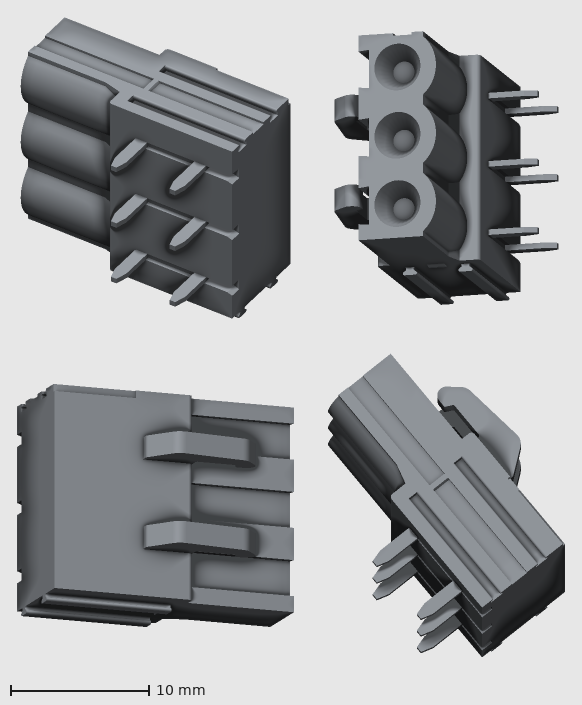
import cadquery as cq
import math


length = 18.85
height = 15.23
poles = 3
pitch = height / poles
block_start = 8.18
block_depth = 7.73
block_corner_radius = 0.3
neck_back = 6.79

barrel_y = 3.85
barrel_radius = 2.9
web_front = 1.92
web_flare_front = 1.53
web_flare_start = 6.67
funnel_mouth_radius = 1.73
funnel_throat_radius = 0.8
funnel_depth = 1.7

dovetail_depth = 0.81
dovetail_mouth = 2.68
dovetail_floor = 2.85

hook_width = 1.62
hook_spacing = 6.67
hook_root_y = 7.16
hook_underside_y = 8.46
hook_end_x = 12.03
hook_lip_x = 4.88
hook_lip_y = 7.85
hook_nose_center = (4.28, 8.48)
hook_nose_radius = hook_nose_center[1] - hook_lip_y
hook_shoulder = (4.75, 10.0)
hook_peak = (10.31, 10.67)
hook_heel_y = 8.43
hook_notch_x = 5.18
hook_inner_radius = 0.15
hook_shoulder_radius = 0.95
hook_peak_radius = 0.95
hook_heel_radius = 0.38

pin_width = 1.0
pin_thickness = 0.41
pin_spacing = 5.07
first_pin_x = 10.46
pin_tip_y = -3.6
pin_taper_y = -2.68
pin_tip_width = 0.47
pin_plate_y = 0.23
last_pin_end = first_pin_x + pin_spacing + pin_width

slot_height = 0.6
slot_depth = 0.95
slot_flare = 0.15
slot_flare_length = 0.41

rail_centers_y = (1.38, 5.56)
rail_start = 9.2
rail_height = 0.57
rail_root_half = 0.35
rail_neck_half = 0.28
rail_head_half = 0.53
rail_head_edge_half = 0.43
rail_neck_height = 0.25
rail_head_top = 0.3
groove_mouth_half = 0.49
groove_lip_half = 0.34
groove_floor_half = 0.55
groove_lip_radius = groove_mouth_half - groove_lip_half
groove_undercut_top = 0.23
groove_undercut_bottom = 0.3
groove_depth = 0.6

snap_y = 3.49
recess_width = 1.4
recess_depth = 0.19
front_recess_end = 9.39
rear_recess_start = 9.78
rear_recess_ramp = 0.13
tab_width = 1.26
tab_height = 0.13
tab_start = 8.67
tab_end = 9.33
tab_ramp = 0.38

rebate_start = 12.55
rebate_depth = 0.2
rebate_height = 0.57


def box(x0, x1, y0, y1, z0, z1):
    return cq.Workplane("XY").box(x1 - x0, y1 - y0, z1 - z0, centered=False).translate((x0, y0, z0))


def extrude_along_x(points, x0, x1):
    """Extrude a closed outline of (y, z) points from x0 to x1."""
    return cq.Workplane("YZ", origin=(x0, 0, 0)).polyline(points).close().extrude(x1 - x0)


def extrude_along_y(points, y0, y1):
    """Extrude a closed outline of (x, z) points from y0 to y1."""
    return cq.Workplane("XZ", origin=(0, y0, 0)).polyline(points).close().extrude(y0 - y1)


def pole_heights():
    return [(pole + 0.5) * pitch for pole in range(poles)]


def make_block():
    block = box(block_start, length, 0, block_depth, 0, height)
    return block.edges("|Z and <X").fillet(block_corner_radius)


def make_neck():
    outline = [
        (0, web_front),
        (web_flare_start, web_front),
        (block_start, web_flare_front),
        (block_start, neck_back),
        (0, neck_back),
    ]
    neck = cq.Workplane("XY").polyline(outline).close().extrude(height)
    barrel_centers = [(barrel_y, z) for z in pole_heights()]
    barrels = cq.Workplane("YZ").pushPoints(barrel_centers).circle(barrel_radius).extrude(block_start)
    return neck.union(barrels.intersect(box(0, block_start, 0, neck_back, 0, height)))


def make_funnel(z):
    mouth = cq.Workplane("YZ", origin=(0, barrel_y, z)).circle(funnel_mouth_radius)
    return mouth.workplane(offset=funnel_depth).circle(funnel_throat_radius).loft()


def make_dovetail(z):
    outline = [
        (neck_back, z - dovetail_mouth / 2),
        (neck_back, z + dovetail_mouth / 2),
        (neck_back - dovetail_depth, z + dovetail_floor / 2),
        (neck_back - dovetail_depth, z - dovetail_floor / 2),
    ]
    return extrude_along_x(outline, 0, block_start)


def make_hook(z):
    to_shoulder_x = hook_shoulder[0] - hook_nose_center[0]
    to_shoulder_y = hook_shoulder[1] - hook_nose_center[1]
    reach = math.hypot(to_shoulder_x, to_shoulder_y)
    tangent_angle = math.atan2(to_shoulder_y, to_shoulder_x) + math.acos(hook_nose_radius / reach)
    middle_angle = (tangent_angle + 1.5 * math.pi) / 2

    def on_nose(angle):
        return (
            hook_nose_center[0] + hook_nose_radius * math.cos(angle),
            hook_nose_center[1] + hook_nose_radius * math.sin(angle),
        )

    hook = (
        cq.Workplane("XY", origin=(0, 0, z - hook_width / 2))
        .moveTo(block_start, hook_root_y)
        .lineTo(block_start, hook_underside_y)
        .lineTo(hook_notch_x, hook_underside_y)
        .lineTo(hook_lip_x, hook_lip_y)
        .lineTo(hook_nose_center[0], hook_lip_y)
        .threePointArc(on_nose(middle_angle), on_nose(tangent_angle))
        .lineTo(*hook_shoulder)
        .lineTo(*hook_peak)
        .lineTo(hook_end_x, hook_heel_y)
        .lineTo(hook_end_x, hook_root_y)
        .close()
        .extrude(hook_width)
    )
    rounded_corners = [
        ((block_start, hook_underside_y), hook_inner_radius),
        ((hook_notch_x, hook_underside_y), hook_inner_radius),
        (hook_shoulder, hook_shoulder_radius),
        (hook_peak, hook_peak_radius),
        ((hook_end_x, hook_heel_y), hook_heel_radius),
    ]
    for (x, y), radius in rounded_corners:
        hook = hook.edges(cq.selectors.NearestToPointSelector((x, y, z))).fillet(radius)
    return hook


def make_pin_slot(z):
    half = slot_height / 2
    outline = [
        (first_pin_x, z - half),
        (length - slot_flare_length, z - half),
        (length, z - half - slot_flare),
        (length, z + half + slot_flare),
        (length - slot_flare_length, z + half),
        (first_pin_x, z + half),
    ]
    return extrude_along_y(outline, 0, slot_depth)


def make_pins(z):
    """Two tapered pins on a common plate that stands in the pin slot."""
    bottom = z - pin_thickness / 2
    pins = box(first_pin_x, last_pin_end, pin_plate_y, slot_depth, bottom, bottom + pin_thickness)
    tip_inset = (pin_width - pin_tip_width) / 2
    for x in (first_pin_x, first_pin_x + pin_spacing):
        outline = [
            (x, pin_plate_y),
            (x, pin_taper_y),
            (x + tip_inset, pin_tip_y),
            (x + pin_width - tip_inset, pin_tip_y),
            (x + pin_width, pin_taper_y),
            (x + pin_width, pin_plate_y),
        ]
        pin = cq.Workplane("XY", origin=(0, 0, bottom)).polyline(outline).close().extrude(pin_thickness)
        pins = pins.union(pin)
    return pins


def make_rail(y):
    """Rail with a hollow neck and a round-sided head, hanging below the housing."""
    neck_middle_z = -rail_neck_height / 2
    head_middle_z = -(rail_height + rail_head_top) / 2
    return (
        cq.Workplane("YZ", origin=(rail_start, y, 0))
        .moveTo(rail_root_half, 0)
        .threePointArc((rail_neck_half, neck_middle_z), (rail_root_half, -rail_neck_height))
        .lineTo(rail_head_edge_half, -rail_head_top)
        .threePointArc((rail_head_half, head_middle_z), (rail_head_edge_half, -rail_height))
        .lineTo(-rail_head_edge_half, -rail_height)
        .threePointArc((-rail_head_half, head_middle_z), (-rail_head_edge_half, -rail_head_top))
        .lineTo(-rail_root_half, -rail_neck_height)
        .threePointArc((-rail_neck_half, neck_middle_z), (-rail_root_half, 0))
        .close()
        .extrude(length - rail_start)
    )


def make_groove(y):
    """Undercut groove with rounded lips, open towards the top."""
    lip_z = height - groove_lip_radius
    arc_offset = groove_lip_radius * (1 - math.sqrt(0.5))
    arc_half = groove_lip_half + arc_offset
    arc_z = height - arc_offset
    return (
        cq.Workplane("YZ", origin=(rail_start, y, 0))
        .moveTo(groove_mouth_half, height)
        .threePointArc((arc_half, arc_z), (groove_lip_half, lip_z))
        .lineTo(groove_lip_half, height - groove_undercut_top)
        .lineTo(groove_floor_half, height - groove_undercut_bottom)
        .lineTo(groove_floor_half, height - groove_depth)
        .lineTo(-groove_floor_half, height - groove_depth)
        .lineTo(-groove_floor_half, height - groove_undercut_bottom)
        .lineTo(-groove_lip_half, height - groove_undercut_top)
        .lineTo(-groove_lip_half, lip_z)
        .threePointArc((-arc_half, arc_z), (-groove_mouth_half, height))
        .close()
        .extrude(length - rail_start)
    )


def make_snap_recesses():
    floor_z = height - recess_depth
    y0 = snap_y - recess_width / 2
    y1 = snap_y + recess_width / 2
    front = box(0, front_recess_end, y0, y1, floor_z, height)
    rear_outline = [
        (rear_recess_start, height),
        (rear_recess_start + rear_recess_ramp, floor_z),
        (length, floor_z),
        (length, height),
    ]
    return front.union(extrude_along_y(rear_outline, y0, y1))


def make_snap_tab():
    outline = [
        (tab_start, 0),
        (tab_start + tab_ramp, -tab_height),
        (tab_end, -tab_height),
        (tab_end, 0),
    ]
    return extrude_along_y(outline, snap_y - tab_width / 2, snap_y + tab_width / 2)


def make_rebate():
    return box(rebate_start, length, block_depth - rebate_depth, block_depth, height - rebate_height, height)


result = make_block().union(make_neck())
result = result.cut(make_rebate()).cut(make_snap_recesses()).union(make_snap_tab())

for pole_z in pole_heights():
    result = result.cut(make_funnel(pole_z)).cut(make_dovetail(pole_z))
    result = result.cut(make_pin_slot(pole_z)).union(make_pins(pole_z))

for rail_y in rail_centers_y:
    result = result.cut(make_groove(rail_y)).union(make_rail(rail_y))

for side in (-1, 1):
    result = result.union(make_hook(height / 2 + side * hook_spacing / 2))